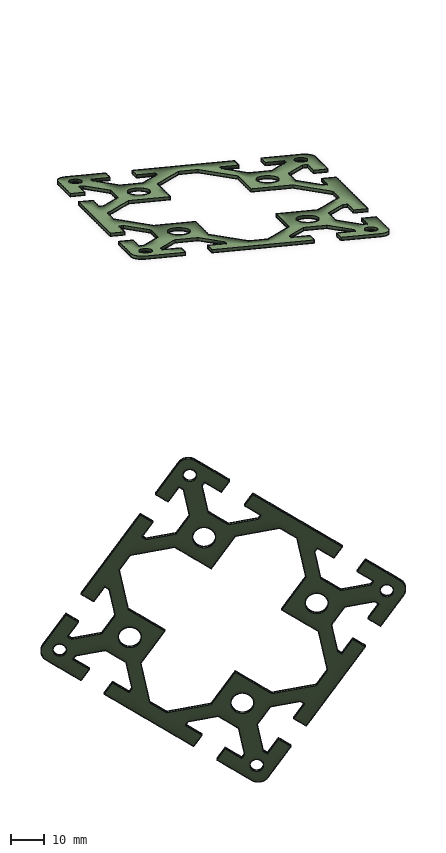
import cadquery as cq

size = 80.0
thickness = 1.0
corner_radius = 3.5

half = size / 2
cell_offset = size / 4

slot_opening = 8.2
lip_thickness = 4.5
slot_width = 20.0
slot_wall_depth = 6.0
slot_depth = 12.4

wall_thickness = 5.0
core_half_width = 12.5
strut_offset = 6.0

core_hole_diameter = 6.8
corner_hole_diameter = 4.0
corner_hole_inset = 5.0


def make_plate():
    plate = cq.Workplane("XY").rect(size, size).extrude(thickness)
    return plate.edges("|Z").fillet(corner_radius)


def make_slot(center_x):
    """T-slot cutter entering from the +Y side, with 45-degree lower flanks."""
    half_opening = slot_opening / 2
    half_width = slot_width / 2
    half_floor = half_width - (slot_depth - slot_wall_depth)
    lip_y = half - lip_thickness
    wall_end_y = half - slot_wall_depth
    floor_y = half - slot_depth
    right_side = [
        (half_opening, half),
        (half_opening, lip_y),
        (half_width, lip_y),
        (half_width, wall_end_y),
        (half_floor, floor_y),
    ]
    left_side = [(-x, y) for x, y in reversed(right_side)]
    outline = [(center_x + x, y) for x, y in right_side + left_side]
    return cq.Workplane("XY").polyline(outline).close().extrude(thickness)


def make_cavity():
    """Cross-shaped cavity whose four arms taper at 45 degrees to the outer walls."""
    arm_end = half - wall_thickness
    slot_inner_x = cell_offset - slot_width / 2
    flank_sum = slot_inner_x + half - slot_wall_depth
    taper_sum = flank_sum - strut_offset
    core_y = taper_sum - core_half_width
    half_end = taper_sum - arm_end
    arm = [
        (core_half_width, core_half_width),
        (core_half_width, core_y),
        (half_end, arm_end),
        (-half_end, arm_end),
        (-core_half_width, core_y),
    ]
    arm_count = 4
    outline = list(arm)
    for _ in range(arm_count - 1):
        arm = [(-y, x) for x, y in arm]
        outline += arm
    return cq.Workplane("XY").polyline(outline).close().extrude(thickness)


def make_holes(inset, diameter):
    """Four through holes, each set in by the same distance from two outer sides."""
    spacing = size - 2 * inset
    return (
        cq.Workplane("XY")
        .rect(spacing, spacing, forConstruction=True)
        .vertices()
        .circle(diameter / 2)
        .extrude(thickness)
    )


result = make_plate()

for side_angle in (0, 90, 180, 270):
    for slot_x in (-cell_offset, cell_offset):
        slot = make_slot(slot_x).rotate((0, 0, 0), (0, 0, 1), side_angle)
        result = result.cut(slot)

result = result.cut(make_cavity())
result = result.cut(make_holes(cell_offset, core_hole_diameter))
result = result.cut(make_holes(corner_hole_inset, corner_hole_diameter))